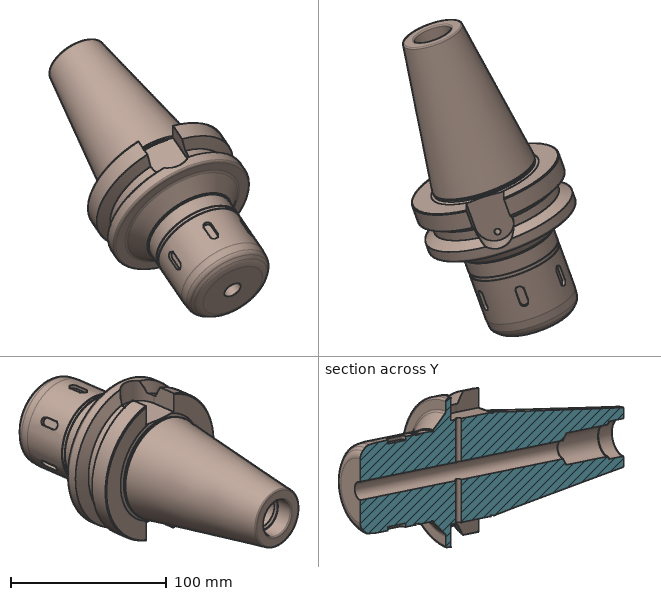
import cadquery as cq
import math


gauge_radius = 69.85 / 2
taper_length = 101.8
taper_ratio = 7 / 24
shank_end_fillet = 1.0
shank_end_radius = gauge_radius - taper_length * taper_ratio / 2

neck_radius = 68.9 / 2
neck_start = 1.05
neck_end = 2.2
neck_flare_radius = 36.5

flange_radius = 100 / 2
flange_front = 3.0
flange_back = 38.0
flange_front_chamfer = 0.6
flange_back_fillet = 1.5
groove_center = 22.8
groove_floor_radius = 85 / 2
groove_floor_width = 6.2
groove_wall_angle = 30
groove_wall_run = (flange_radius - groove_floor_radius) * math.tan(math.radians(groove_wall_angle))

cone_small_radius = 31.0
cone_end = 48.0
cone_root_fillet = 2.4
cone_root_radius = cone_small_radius + cone_end - flange_back

nut_radius = 61 / 2
nut_gap_radius = 60 / 2
nut_start = 48.7
nut_groove_start = 58.9
nut_groove_end = 61.4
nut_lead_start = 92.4
nut_lead_end = 98.0
nut_lead_radius = 60 / 2
nut_chamfer_angle = 45
nut_corner_fillet = 5.0
nut_face_fillet = 7.0
overall_end = 105.0

spanner_slot_count = 6
spanner_slot_center = 76.3
spanner_slot_length = 14.0
spanner_slot_width = 5.6
spanner_slot_depth = 2.5

keyway_width = 25.4
keyway_end = 33.7
keyway_floor = 35.0

coolant_hole_diameter = 4.0
coolant_hole_x = 27.8

through_bore_radius = 12 / 2
pilot_radius = 25 / 2
pilot_depth = 11.5
pilot_mouth_fillet = 1.0
thread_radius = 21 / 2
thread_depth = 45.0
thread_mouth_radius = 24 / 2
drill_tip_angle = 59


def arc_point(center, radius, slope):
    """Point of a convex profile arc where its tangent falls towards +X at the given slope."""
    return (center[0] + radius * math.sin(slope), center[1] + radius * math.cos(slope))


def make_body():
    """Revolve the outer profile of the shank, flange, cone and nut about X."""
    shank_end = -taper_length
    diagonal = math.sqrt(0.5)

    taper_slope = math.atan(taper_ratio / 2)
    shank_tangent = shank_end_fillet * math.tan((math.pi / 2 - taper_slope) / 2)
    shank_center = (shank_end + shank_end_fillet, shank_end_radius - shank_tangent)
    shank_mid = arc_point(shank_center, shank_end_fillet, -(taper_slope + math.pi / 2) / 2)
    shank_taper_start = arc_point(shank_center, shank_end_fillet, -taper_slope)

    root_half_angle = math.radians(45) / 2
    root_tangent = cone_root_fillet * math.tan(root_half_angle)
    root_face_radius = cone_root_radius + root_tangent
    root_cone_x = flange_back + root_tangent * diagonal
    root_cone_radius = cone_root_radius - root_tangent * diagonal
    root_mid_x = flange_back + cone_root_fillet * (1 - math.cos(root_half_angle))
    root_mid_radius = root_face_radius - cone_root_fillet * math.sin(root_half_angle)

    chamfer_slope = math.radians(nut_chamfer_angle)
    lead_slope = math.atan((nut_radius - nut_lead_radius) / (nut_lead_end - nut_lead_start))
    corner_center_x = nut_lead_end - nut_corner_fillet * math.sin(lead_slope)
    corner_center_radius = nut_lead_radius - nut_corner_fillet * math.cos(lead_slope)
    corner_center = (corner_center_x, corner_center_radius)
    corner_mid = arc_point(corner_center, nut_corner_fillet, (lead_slope + chamfer_slope) / 2)
    corner_end = arc_point(corner_center, nut_corner_fillet, chamfer_slope)

    face_center_x = overall_end - nut_face_fillet
    chamfer_end_x = face_center_x + nut_face_fillet * math.sin(chamfer_slope)
    chamfer_end_radius = corner_end[1] - (chamfer_end_x - corner_end[0]) * math.tan(chamfer_slope)
    face_center = (face_center_x, chamfer_end_radius - nut_face_fillet * math.cos(chamfer_slope))
    face_mid = arc_point(face_center, nut_face_fillet, (chamfer_slope + math.pi / 2) / 2)

    profile = (
        cq.Workplane("XY")
        .moveTo(shank_end, 0)
        .lineTo(shank_end, shank_center[1])
        .threePointArc(shank_mid, shank_taper_start)
        .lineTo(0, gauge_radius)
        .lineTo(neck_start, neck_radius)
        .lineTo(neck_end, neck_radius)
        .lineTo(flange_front, neck_flare_radius)
        .lineTo(flange_front, flange_radius - flange_front_chamfer)
        .lineTo(flange_front + flange_front_chamfer, flange_radius)
        .lineTo(groove_center - groove_floor_width / 2 - groove_wall_run, flange_radius)
        .lineTo(groove_center - groove_floor_width / 2, groove_floor_radius)
        .lineTo(groove_center + groove_floor_width / 2, groove_floor_radius)
        .lineTo(groove_center + groove_floor_width / 2 + groove_wall_run, flange_radius)
        .lineTo(flange_back - flange_back_fillet, flange_radius)
        .threePointArc(
            (
                flange_back - flange_back_fillet * (1 - diagonal),
                flange_radius - flange_back_fillet * (1 - diagonal),
            ),
            (flange_back, flange_radius - flange_back_fillet),
        )
        .lineTo(flange_back, root_face_radius)
        .threePointArc((root_mid_x, root_mid_radius), (root_cone_x, root_cone_radius))
        .lineTo(cone_end, cone_small_radius)
        .lineTo(cone_end, nut_gap_radius)
        .lineTo(nut_start, nut_gap_radius)
        .lineTo(nut_start, nut_radius)
        .lineTo(nut_groove_start, nut_radius)
        .lineTo(nut_groove_start, nut_gap_radius)
        .lineTo(nut_groove_end, nut_gap_radius)
        .lineTo(nut_groove_end, nut_radius)
        .lineTo(nut_lead_start, nut_radius)
        .lineTo(nut_lead_end, nut_lead_radius)
        .threePointArc(corner_mid, corner_end)
        .lineTo(chamfer_end_x, chamfer_end_radius)
        .threePointArc(face_mid, (overall_end, face_center[1]))
        .lineTo(overall_end, 0)
        .close()
    )
    return profile.revolve(360, (0, 0, 0), (1, 0, 0))


def make_bores():
    """Revolve the pull-stud pilot, thread bore and through bore about X."""
    mouth = -taper_length
    fillet_mid_offset = pilot_mouth_fillet * (1 - math.sqrt(0.5))
    step = mouth + pilot_depth
    thread_end = mouth + thread_depth
    tip_length = (thread_radius - through_bore_radius) / math.tan(math.radians(drill_tip_angle))
    profile = (
        cq.Workplane("XY")
        .moveTo(mouth, 0)
        .lineTo(mouth, pilot_radius + pilot_mouth_fillet)
        .threePointArc(
            (mouth + fillet_mid_offset, pilot_radius + fillet_mid_offset),
            (mouth + pilot_mouth_fillet, pilot_radius),
        )
        .lineTo(step, pilot_radius)
        .lineTo(step, thread_mouth_radius)
        .lineTo(step + thread_mouth_radius - thread_radius, thread_radius)
        .lineTo(thread_end, thread_radius)
        .lineTo(thread_end + tip_length, through_bore_radius)
        .lineTo(overall_end, through_bore_radius)
        .lineTo(overall_end, 0)
        .close()
    )
    return profile.revolve(360, (0, 0, 0), (1, 0, 0))


def make_keyway():
    """Round-ended drive keyway on the +Z side, open towards the shank."""
    end_radius = keyway_width / 2
    arc_center = keyway_end - end_radius
    return (
        cq.Workplane("XY", origin=(0, 0, keyway_floor))
        .moveTo(0, -end_radius)
        .lineTo(arc_center, -end_radius)
        .threePointArc((keyway_end, 0), (arc_center, end_radius))
        .lineTo(0, end_radius)
        .close()
        .extrude(flange_radius)
    )


def make_coolant_hole():
    """Straight hole across the part along Z."""
    return (
        cq.Workplane("XY", origin=(coolant_hole_x, 0, -flange_radius))
        .circle(coolant_hole_diameter / 2)
        .extrude(2 * flange_radius)
    )


def make_spanner_slot():
    """Flat-bottomed slot on the +Z side of the nut, long along X."""
    return (
        cq.Workplane("XY", origin=(spanner_slot_center, 0, nut_radius - spanner_slot_depth))
        .slot2D(spanner_slot_length, spanner_slot_width)
        .extrude(2 * spanner_slot_depth)
    )


def turned(shape, angle):
    """Copy of a shape turned about the part axis."""
    return shape.rotate((0, 0, 0), (1, 0, 0), angle)


result = make_body().cut(make_bores()).cut(make_coolant_hole())

for keyway_angle in (0, 180):
    result = result.cut(turned(make_keyway(), keyway_angle))

for slot_index in range(spanner_slot_count):
    slot_angle = slot_index * 360 / spanner_slot_count
    result = result.cut(turned(make_spanner_slot(), slot_angle))